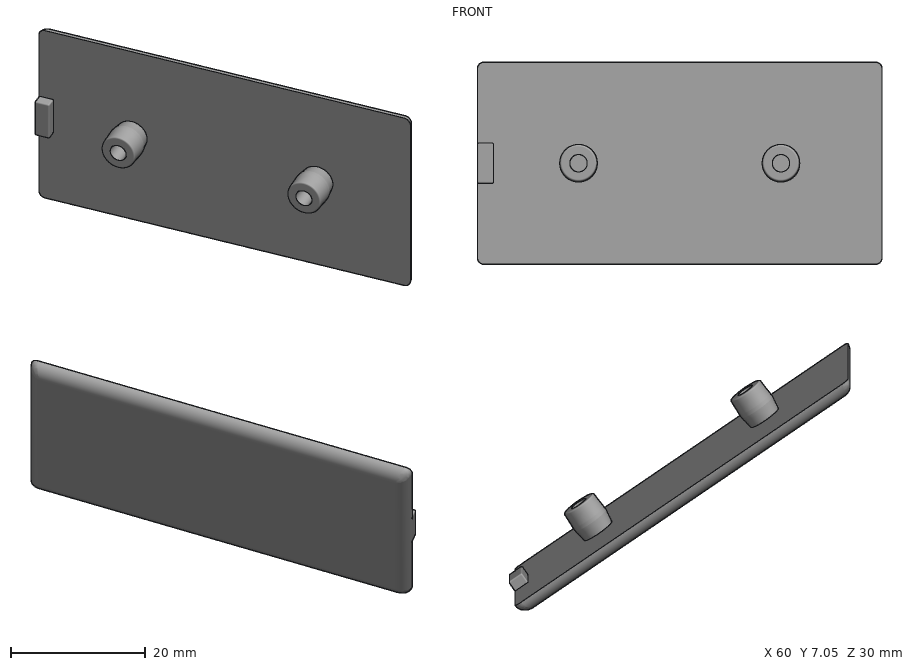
import cadquery as cq

plate_length = 60.0
plate_height = 30.0
plate_thickness = 2.0
corner_radius = 1.0
edge_land = 0.02
edge_radius = plate_thickness - edge_land

peg_length = 5.05
peg_spacing = plate_length / 2
peg_root_diameter = 5.0
peg_band_diameter = 5.6
peg_tip_diameter = 5.35
band_start = 1.9
band_end = 2.5
peg_hole_diameter = 2.6
peg_tip_fillet = 0.25

tab_width = 2.4
tab_depth = 1.6
tab_height = 6.0
tab_fillet = 0.25


def make_plate():
    """Flat plate with rounded corners and all back edges rounded over."""
    plate = (
        cq.Workplane("XZ")
        .rect(plate_length, plate_height)
        .extrude(-plate_thickness)
        .edges("|Y")
        .fillet(corner_radius)
    )
    return plate.faces(">Y").edges().fillet(edge_radius)


def make_peg(x):
    """Barrel peg with a central band and a blind axial hole down to the plate."""
    profile = [
        (peg_hole_diameter / 2, 0),
        (peg_root_diameter / 2, 0),
        (peg_band_diameter / 2, -band_start),
        (peg_band_diameter / 2, -band_end),
        (peg_tip_diameter / 2, -peg_length),
        (peg_hole_diameter / 2, -peg_length),
    ]
    peg = cq.Workplane("XY").polyline(profile).close().revolve(360, (0, 0), (0, 1))
    peg = peg.faces("<Y").edges(cq.selectors.RadiusNthSelector(-1)).fillet(peg_tip_fillet)
    return peg.translate((x, 0, 0))


def make_tab():
    """Block with softened outer edges, flush with the -X edge of the plate."""
    tab = cq.Workplane("XY").box(tab_width, tab_depth, tab_height)
    tab = tab.edges("|Y or <Y").fillet(tab_fillet)
    return tab.translate(((tab_width - plate_length) / 2, -tab_depth / 2, 0))


result = make_plate().union(make_tab())
for side in (-1, 1):
    result = result.union(make_peg(side * peg_spacing / 2))